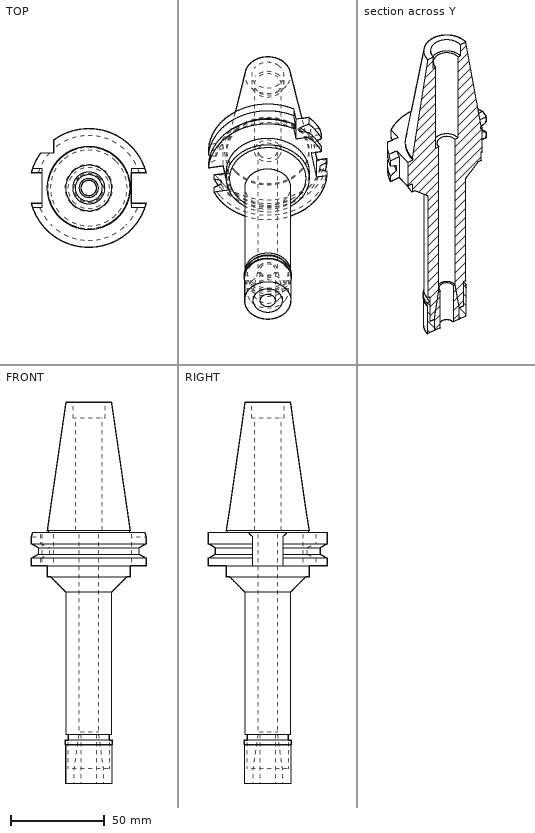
import cadquery as cq
import math

TOTAL_LENGTH = 203.5
GAUGE_Z = 135.0
FLANGE_TOP_Z = 134.0
FLANGE_BOTTOM_Z = 116.1
GROOVE_Z = 124.0
SHOULDER_Z = 110.2
TUBE_TOP_Z = 102.1
TUBE_BOTTOM_Z = 26.2
NUT_LENGTH = 23.2
COLLET_TOP_Z = 27.5

GAUGE_RADIUS = 22.2
TAPER_PER_LENGTH = 7 / 24
TAPER_LENGTH = TOTAL_LENGTH - GAUGE_Z
TAPER_TIP_RADIUS = GAUGE_RADIUS - TAPER_LENGTH * TAPER_PER_LENGTH / 2
RELIEF_RADIUS = 21.8
FLANGE_RADIUS = 31.7
SHOULDER_RADIUS = GAUGE_RADIUS
TUBE_RADIUS = 12.2
CONE_RADIUS = TUBE_RADIUS + (SHOULDER_Z - TUBE_TOP_Z)
NECK_RADIUS = 11.0
NECK_BOTTOM_Z = 8.1

GROOVE_RADIUS = 28.0
GROOVE_FLOOR_WIDTH = 3.5
GROOVE_WALL_ANGLE = 30.0

SLOT_WIDTH = 16.0
SLOT_CHAMFER = 2.5
SLOT_FLOOR_NEGATIVE_X = -25.0
SLOT_FLOOR_POSITIVE_X = 22.8
NOTCH_OFFSET = 18.7

COUNTERBORE_RADIUS = 8.5
COUNTERBORE_DEPTH = 8.3
UPPER_BORE_RADIUS = 7.1
UPPER_BORE_BOTTOM_Z = GAUGE_Z
LOWER_BORE_RADIUS = 5.0

COLLET_HOLE_RADIUS = 4.0
COLLET_HALF_ANGLE = 8.0
COLLET_TOP_RADIUS = LOWER_BORE_RADIUS
COLLET_CONE_LENGTH = COLLET_TOP_Z - NECK_BOTTOM_Z
COLLET_NOSE_RADIUS = COLLET_TOP_RADIUS + COLLET_CONE_LENGTH * math.tan(math.radians(COLLET_HALF_ANGLE))

NUT_RADIUS = 12.5
NUT_COLLAR_RADIUS = 12.6
NUT_COLLAR_BOTTOM_Z = 21.0
NUT_BODY_TOP_Z = 20.7


def revolve(points):
    """Turn a closed (radius, z) outline around the Z axis."""
    return cq.Workplane("XZ").polyline(points).close().revolve(360, (0, 0, 0), (0, 1, 0))


def cylinder(radius, bottom, top):
    return cq.Workplane("XY", origin=(0, 0, bottom)).circle(radius).extrude(top - bottom)


def collet_envelope():
    """Collet without its hole: a cone in the holder and a straight nose in the nut."""
    return revolve([
        (0, 0),
        (COLLET_NOSE_RADIUS, 0),
        (COLLET_NOSE_RADIUS, NECK_BOTTOM_Z),
        (COLLET_TOP_RADIUS, COLLET_TOP_Z),
        (0, COLLET_TOP_Z),
    ])


def holder_outside():
    groove_wall = (FLANGE_RADIUS - GROOVE_RADIUS) * math.tan(math.radians(GROOVE_WALL_ANGLE))
    half_floor = GROOVE_FLOOR_WIDTH / 2
    half_mouth = half_floor + groove_wall
    return revolve([
        (0, TOTAL_LENGTH),
        (TAPER_TIP_RADIUS, TOTAL_LENGTH),
        (GAUGE_RADIUS, GAUGE_Z),
        (RELIEF_RADIUS, GAUGE_Z),
        (RELIEF_RADIUS, FLANGE_TOP_Z),
        (FLANGE_RADIUS, FLANGE_TOP_Z),
        (FLANGE_RADIUS, GROOVE_Z + half_mouth),
        (GROOVE_RADIUS, GROOVE_Z + half_floor),
        (GROOVE_RADIUS, GROOVE_Z - half_floor),
        (FLANGE_RADIUS, GROOVE_Z - half_mouth),
        (FLANGE_RADIUS, FLANGE_BOTTOM_Z),
        (SHOULDER_RADIUS, FLANGE_BOTTOM_Z),
        (SHOULDER_RADIUS, SHOULDER_Z),
        (CONE_RADIUS, SHOULDER_Z),
        (TUBE_RADIUS, TUBE_TOP_Z),
        (TUBE_RADIUS, TUBE_BOTTOM_Z),
        (NECK_RADIUS, TUBE_BOTTOM_Z),
        (NECK_RADIUS, NECK_BOTTOM_Z),
        (0, NECK_BOTTOM_Z),
    ])


def driving_slot(floor_x):
    """Cutter for one slot, open outwards from floor_x, with chamfered upper edges."""
    half = SLOT_WIDTH / 2
    length = math.copysign(FLANGE_RADIUS, floor_x)
    return (
        cq.Workplane("YZ", origin=(floor_x, 0, 0))
        .polyline([
            (-half, FLANGE_BOTTOM_Z),
            (half, FLANGE_BOTTOM_Z),
            (half, FLANGE_TOP_Z - SLOT_CHAMFER),
            (half + SLOT_CHAMFER, FLANGE_TOP_Z),
            (-half - SLOT_CHAMFER, FLANGE_TOP_Z),
            (-half, FLANGE_TOP_Z - SLOT_CHAMFER),
        ])
        .close()
        .extrude(length)
    )


def orientation_notch():
    """Cutter for the square notch in the -X, +Y quarter of the flange."""
    return cq.Workplane("XY").box(
        FLANGE_RADIUS, FLANGE_RADIUS, FLANGE_TOP_Z - FLANGE_BOTTOM_Z, centered=False
    ).translate((-NOTCH_OFFSET - FLANGE_RADIUS, NOTCH_OFFSET, FLANGE_BOTTOM_Z))


def make_holder():
    holder = holder_outside()
    for floor_x in (SLOT_FLOOR_NEGATIVE_X, SLOT_FLOOR_POSITIVE_X):
        holder = holder.cut(driving_slot(floor_x))
    holder = holder.cut(orientation_notch())
    holder = holder.cut(cylinder(COUNTERBORE_RADIUS, TOTAL_LENGTH - COUNTERBORE_DEPTH, TOTAL_LENGTH))
    holder = holder.cut(cylinder(UPPER_BORE_RADIUS, UPPER_BORE_BOTTOM_Z, TOTAL_LENGTH))
    holder = holder.cut(cylinder(LOWER_BORE_RADIUS, COLLET_TOP_Z, TOTAL_LENGTH))
    return holder.cut(collet_envelope())


def make_nut():
    nut = revolve([
        (0, 0),
        (NUT_RADIUS, 0),
        (NUT_RADIUS, NUT_BODY_TOP_Z),
        (NUT_COLLAR_RADIUS, NUT_COLLAR_BOTTOM_Z),
        (NUT_COLLAR_RADIUS, NUT_LENGTH),
        (0, NUT_LENGTH),
    ])
    nut = nut.cut(cylinder(NECK_RADIUS, NECK_BOTTOM_Z, NUT_LENGTH))
    return nut.cut(collet_envelope())


def make_collet():
    return collet_envelope().cut(cylinder(COLLET_HOLE_RADIUS, 0, COLLET_TOP_Z))


holder = make_holder()
nut = make_nut()
collet = make_collet()

result = cq.Compound.makeCompound([holder.val(), nut.val(), collet.val()])